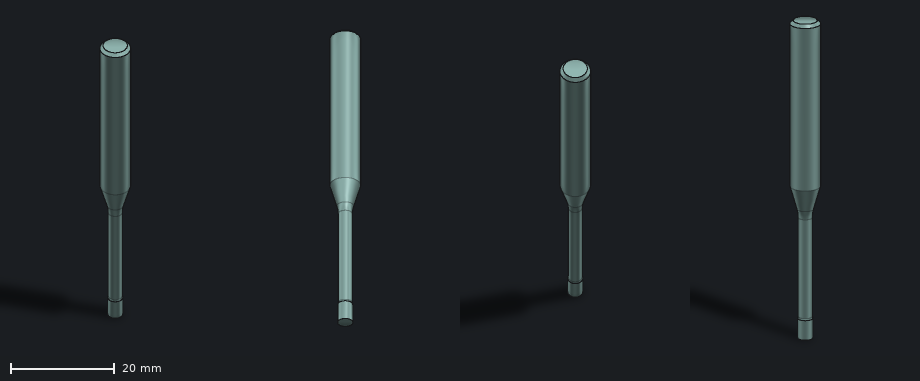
import cadquery as cq
import math

total_length = 65.0
shank_radius = 3.0
end_chamfer = 0.65
neck_diameter = 2.8
tip_radius = 1.5
tip_length = 4.0
collar_height = 0.4
neck_end = 24.65
flare_height = 1.75
taper_angle = math.radians(16.0)

neck_radius = neck_diameter / 2

flare_radius = flare_height / math.sin(taper_angle)


def flare_point(angle):
    """Point on the flare arc where its tangent leans by the given angle."""
    return (
        neck_radius + flare_radius * (1 - math.cos(angle)),
        neck_end + flare_radius * math.sin(angle),
    )


flare_top_radius, flare_top = flare_point(taper_angle)
taper_end = flare_top + (shank_radius - flare_top_radius) / math.tan(taper_angle)


def make_tip():
    """Plain cylindrical cutting tip."""
    return cq.Workplane("XY").circle(tip_radius).extrude(tip_length)


def make_holder():
    """Collar, neck, flare, taper and chamfered shank as one turned body."""
    profile = (
        cq.Workplane("XZ")
        .moveTo(0, tip_length)
        .lineTo(tip_radius, tip_length)
        .lineTo(neck_radius, tip_length + collar_height)
        .lineTo(neck_radius, neck_end)
        .threePointArc(flare_point(taper_angle / 2), flare_point(taper_angle))
        .lineTo(shank_radius, taper_end)
        .lineTo(shank_radius, total_length - end_chamfer)
        .lineTo(shank_radius - end_chamfer, total_length)
        .lineTo(0, total_length)
        .close()
    )
    return profile.revolve(360, (0, 0, 0), (0, 1, 0))


tip = make_tip()
holder = make_holder()

result = cq.Compound.makeCompound([tip.val(), holder.val()])